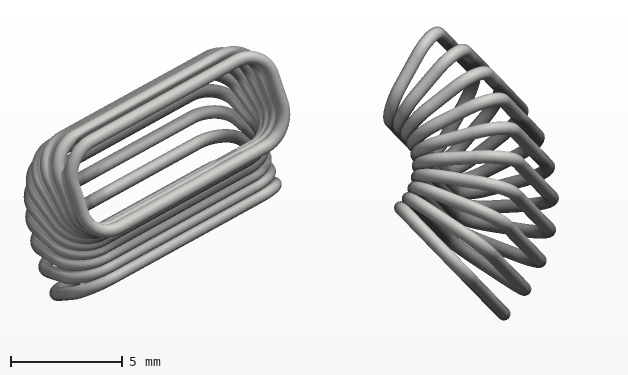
import cadquery as cq

wire_diameter = 0.6
loop_length = 11.0
loop_width = 4.5
corner_radius = 1.5
inner_radius = 2.51

loop_count = 10
top_tilt = 60.7
tilt_step = 11.96

outer_radius = inner_radius + loop_width
mid_radius = inner_radius + loop_width / 2


def wire_loop():
    """One untilted loop, lying flat in the XY plane on the -X side of the fan axis."""
    rectangle = cq.Workplane("XY").center(-mid_radius, 0).rect(loop_width, loop_length).val()
    centreline = rectangle.fillet2D(corner_radius, rectangle.Vertices())
    section = cq.Workplane("XZ").center(-outer_radius, 0).circle(wire_diameter / 2)
    return section.sweep(cq.Workplane(centreline))


def loop_fan():
    """All loops turned about the fan axis, from the top one down, joined into one body."""
    flat_loop = wire_loop()
    fan = cq.Workplane("XY")
    for index in range(loop_count):
        tilt = top_tilt - index * tilt_step
        fan = fan.union(flat_loop.rotate((0, 0, 0), (0, 1, 0), tilt))
    return fan


result = loop_fan()